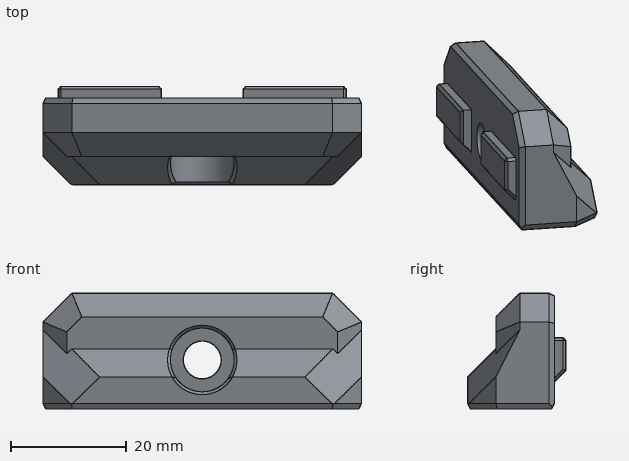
import cadquery as cq
import math

length = 55.0
height = 20.0
depth = 15.0
end_x = length / 2

slab_depth = 6.0
shelf_depth = 10.1
nose_height = 5.5
corner = 5.0
nose_step = depth - shelf_depth

facet_top = 13.65
facet_low = 5.55
facet_run = 9.8

edge_run = 1.0
edge_inset = 0.5
edge_taper = math.degrees(math.atan(edge_inset / edge_run))

hole_z = 8.45
bolt_d = 6.5
counterbore_d = 11.0
counterbore_floor = 4.0
rim_chamfer = 0.5
zone_margin = 0.3

pad_outer = 24.85
pad_inner = 7.05
pad_thickness = 2.0
pad_bottom = 4.7
pad_top = 12.3
pad_chamfer = 0.5

oversize = 2 * length


def make_upper_block():
    """Full-height block with cut top corners and a bevelled front outline."""
    block = cq.Workplane("XZ").rect(length, height).extrude(shelf_depth)
    block = block.translate((0, 0, height / 2))
    block = block.edges("|Y and >Z").chamfer(corner)
    bevelled = block.faces("<Y").edges("not <Z")
    return bevelled.chamfer(shelf_depth - slab_depth)


def cut_facet(block, side):
    """Slice one sloping facet off the nose; side is -1 or 1."""
    end_top = cq.Vector(side * end_x, -slab_depth, facet_top)
    end_low = cq.Vector(side * end_x, -shelf_depth, facet_low)
    nose_edge = cq.Vector(side * (end_x - facet_run), -depth, nose_height)
    along = end_low - end_top
    outward = (nose_edge - end_top).cross(along) * side
    plane = cq.Plane(origin=end_top, xDir=along, normal=outward)
    return block.cut(cq.Workplane(plane).rect(oversize, oversize).extrude(oversize))


def make_nose():
    """Lower block with a 45 degree upper slope and angled ends."""
    slope_top = nose_height + depth - slab_depth
    profile = [
        (0, 0),
        (-depth, 0),
        (-depth, nose_height),
        (-slab_depth, slope_top),
        (0, slope_top),
    ]
    nose = cq.Workplane("YZ").polyline(profile).close().extrude(end_x, both=True)
    nose = nose.edges("|Z and <Y").chamfer(nose_step)
    for side in (-1, 1):
        nose = cut_facet(nose, side)
    return nose


def extrude_tapered_below(plane, origin, outline, straight):
    """Straight prism on one side of the outline, narrow tapered rim on the other."""
    prism = cq.Workplane(plane, origin=origin).polyline(outline).close().extrude(straight)
    rim = cq.Workplane(plane, origin=origin).polyline(outline).close()
    return prism.union(rim.extrude(-edge_run, taper=edge_taper))


def make_base_envelope():
    """Plan outline of the block, drawn in along its base."""
    outline = [
        (-end_x, 0),
        (-end_x, -shelf_depth),
        (-end_x + nose_step, -depth),
        (end_x - nose_step, -depth),
        (end_x, -shelf_depth),
        (end_x, 0),
    ]
    return extrude_tapered_below("XY", (0, 0, edge_run), outline, height)


def make_back_envelope():
    """Upright outline, drawn in at the back along the ends and top only."""
    below_base = -height
    outline = [
        (-end_x, below_base),
        (-end_x, height - corner),
        (-end_x + corner, height),
        (end_x - corner, height),
        (end_x, height - corner),
        (end_x, below_base),
    ]
    return extrude_tapered_below("XZ", (0, -edge_run, 0), outline, depth)


def add_bolt_hole(block):
    """Through hole, counterbored from the front, with a chamfered rim."""
    seat = cq.Workplane("XZ", origin=(0, -counterbore_floor, hole_z))
    block = block.cut(seat.circle(counterbore_d / 2).extrude(oversize))
    reach = counterbore_d / 2 + zone_margin
    rim_zone = cq.selectors.BoxSelector(
        (-reach, -depth - zone_margin, hole_z - reach),
        (reach, -counterbore_floor - zone_margin, hole_z + reach),
        boundingbox=True,
    )
    block = block.edges(rim_zone).edges("not |Y").chamfer(rim_chamfer)
    bolt = cq.Workplane("XZ").center(0, hole_z).circle(bolt_d / 2)
    return block.cut(bolt.extrude(oversize, both=True))


def make_pad():
    """Locating pad on the +X half, with a 45 degree underside."""
    profile = [
        (0, pad_bottom),
        (pad_thickness, pad_bottom + pad_thickness),
        (pad_thickness, pad_top),
        (0, pad_top),
    ]
    pad = cq.Workplane("YZ", origin=(pad_inner, 0, 0)).polyline(profile).close()
    pad = pad.extrude(pad_outer - pad_inner)
    outer_edges = pad.faces(">X").edges("not <Y")
    back_edges = pad.edges(">Y and |Z").add(pad.edges(">Y and >Z"))
    return outer_edges.add(back_edges).chamfer(pad_chamfer)


body = make_upper_block().union(make_nose())
body = body.intersect(make_base_envelope()).intersect(make_back_envelope())
body = add_bolt_hole(body)

right_pad = make_pad()
result = body.union(right_pad).union(right_pad.mirror("YZ"))